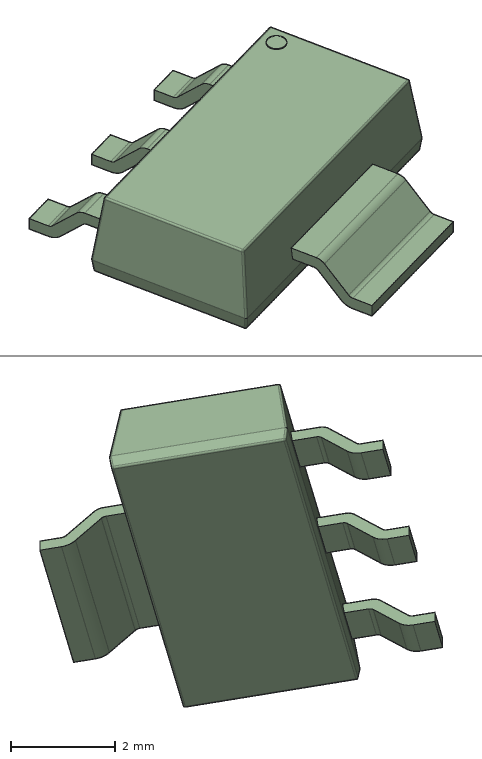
import cadquery as cq
import math

HOUSING_LENGTH_X = 3.5
HOUSING_LENGTH_Y = 6.5
HOUSING_BOTTOM = 0.1
PARTING_HEIGHT = 0.4
HOUSING_TOP = 1.875
DRAFT_ANGLE = 7.0
EDGE_RADIUS = 0.04

OVERALL_LENGTH = 7.0
STRIP_THICKNESS = 0.26
SHOULDER_TOP = 0.92
BEND_ANGLE = 45.0
FOOT_LENGTH = 0.48
FOOT_INNER_RADIUS = STRIP_THICKNESS / 2
FOOT_OUTER_RADIUS = FOOT_INNER_RADIUS + STRIP_THICKNESS
SHOULDER_INNER_RADIUS = STRIP_THICKNESS / 2
SHOULDER_OUTER_RADIUS = STRIP_THICKNESS
LEAD_WIDTH = 0.7
LEAD_PITCH = 2.3
LEAD_COUNT = 3
TAB_WIDTH = 3.0

MARKER_DIAMETER = 0.4
MARKER_TOP = 1.9
MARKER_X = -1.2
MARKER_Y = 2.69


def make_tapered_block(end_height, outer_edges):
    """Block narrowing from the parting plane to end_height, rounded except at the parting plane."""
    return (
        cq.Workplane("XY", origin=(0, 0, PARTING_HEIGHT))
        .rect(HOUSING_LENGTH_X, HOUSING_LENGTH_Y)
        .extrude(end_height - PARTING_HEIGHT, taper=DRAFT_ANGLE)
        .edges(outer_edges)
        .fillet(EDGE_RADIUS)
    )


def make_housing():
    upper = make_tapered_block(HOUSING_TOP, "not <Z")
    lower = make_tapered_block(HOUSING_BOTTOM, "not >Z")
    return upper.union(lower)


def housing_side_x(height):
    """X of the drafted +X side of the housing, above the parting plane."""
    inset = (height - PARTING_HEIGHT) * math.tan(math.radians(DRAFT_ANGLE))
    return HOUSING_LENGTH_X / 2 - inset


def make_strip(width, center_y):
    """Strip on the +X side: shoulder against the housing, slope, then foot."""
    tip_x = OVERALL_LENGTH / 2
    shoulder_bottom = SHOULDER_TOP - STRIP_THICKNESS
    slope_run = shoulder_bottom / math.tan(math.radians(BEND_ANGLE))
    bend_shift = STRIP_THICKNESS * math.tan(math.radians(BEND_ANGLE / 2))
    foot_top_x = tip_x - FOOT_LENGTH
    foot_bottom_x = foot_top_x - bend_shift

    shoulder_top_bend = (foot_top_x - slope_run, SHOULDER_TOP)
    foot_top_bend = (foot_top_x, STRIP_THICKNESS)
    foot_bottom_bend = (foot_bottom_x, 0)
    shoulder_bottom_bend = (foot_bottom_x - slope_run, shoulder_bottom)

    corners = [
        (housing_side_x(SHOULDER_TOP), SHOULDER_TOP),
        shoulder_top_bend,
        foot_top_bend,
        (tip_x, STRIP_THICKNESS),
        (tip_x, 0),
        foot_bottom_bend,
        shoulder_bottom_bend,
        (housing_side_x(shoulder_bottom), shoulder_bottom),
    ]
    bends = [
        (shoulder_top_bend, SHOULDER_OUTER_RADIUS),
        (foot_top_bend, FOOT_INNER_RADIUS),
        (foot_bottom_bend, FOOT_OUTER_RADIUS),
        (shoulder_bottom_bend, SHOULDER_INNER_RADIUS),
    ]
    strip = (
        cq.Workplane("XZ", origin=(0, center_y, 0))
        .polyline(corners)
        .close()
        .extrude(width / 2, both=True)
    )
    for (bend_x, bend_z), radius in bends:
        bend_edge = cq.selectors.NearestToPointSelector((bend_x, center_y, bend_z))
        strip = strip.edges("|Y").edges(bend_edge).fillet(radius)
    return strip


def make_tab():
    return make_strip(TAB_WIDTH, 0)


def make_lead(center_y):
    return make_strip(LEAD_WIDTH, center_y).mirror("YZ")


def make_marker():
    return (
        cq.Workplane("XY", origin=(MARKER_X, MARKER_Y, HOUSING_TOP))
        .circle(MARKER_DIAMETER / 2)
        .extrude(MARKER_TOP - HOUSING_TOP)
    )


housing = make_housing()
tab = make_tab()
leads = []
for index in range(LEAD_COUNT):
    lead_y = (index - (LEAD_COUNT - 1) / 2) * LEAD_PITCH
    leads.append(make_lead(lead_y).val())
marker = make_marker()

result = cq.Compound.makeCompound([housing.val(), tab.val(), *leads, marker.val()])